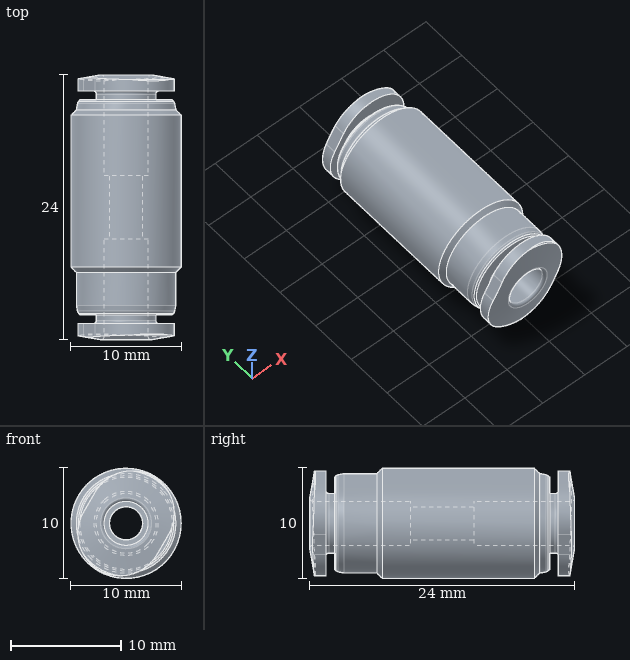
import cadquery as cq

length = 24.0
body_radius = 5.0
half_length = length / 2

shoulder_radius = 4.5
shoulder_chamfer = body_radius - shoulder_radius
front_shoulder_depth = 6.1
rear_shoulder_depth = 3.17
body_face_depth = 2.25
nose_radius = 4.18
nose_points = [(nose_radius, body_face_depth), (4.32, 2.4), (4.42, 2.6), (shoulder_radius, 3.12)]

collar_depth = 1.5
collar_end_radius = 3.85
collar_center_offset = 1.05
collar_angle = 60.0
collar_tip_radius = collar_end_radius + collar_center_offset
face_drop = 0.43
tip_chamfer = 0.12
neck_radius = 2.7
neck_flare = 0.2
neck_flare_length = 0.3

through_radius = 1.5
tube_radius = 2.0
tube_depth = 9.12
mouth_round = 0.3


def front(depth):
    """Y position at a depth from the front end."""
    return depth - half_length


def rear(depth):
    """Y position at a depth from the rear end."""
    return half_length - depth


def revolve_profile(points):
    """Close an (radius, y) outline and turn it around Y."""
    return cq.Workplane("XY").polyline(points).close().revolve(360, (0, 0), (0, 1))


def make_body():
    outline = [(0, front(body_face_depth))]
    outline += [(r, front(d)) for r, d in nose_points]
    outline += [
        (shoulder_radius, front(front_shoulder_depth)),
        (body_radius, front(front_shoulder_depth + shoulder_chamfer)),
        (body_radius, rear(rear_shoulder_depth + shoulder_chamfer)),
        (shoulder_radius, rear(rear_shoulder_depth)),
    ]
    outline += [(r, rear(d)) for r, d in reversed(nose_points)]
    outline += [(0, rear(body_face_depth))]
    return revolve_profile(outline)


def make_front_collar():
    plate = (
        cq.Workplane("XZ", origin=(0, front(0), 0))
        .slot2D(2 * collar_tip_radius, 2 * collar_end_radius, collar_angle)
        .extrude(-collar_depth)
    )
    face_envelope = revolve_profile([
        (0, front(0)),
        (tube_radius + mouth_round, front(0)),
        (collar_tip_radius - tip_chamfer, front(face_drop)),
        (collar_tip_radius, front(face_drop + tip_chamfer)),
        (collar_tip_radius, front(collar_depth)),
        (0, front(collar_depth)),
    ])
    flare_radius = neck_radius + neck_flare
    flare_end = collar_depth + neck_flare_length
    flare_middle = (neck_radius + 0.3 * neck_flare, front(collar_depth + 0.3 * neck_flare_length))
    neck = (
        cq.Workplane("XY")
        .moveTo(0, front(collar_depth))
        .lineTo(flare_radius, front(collar_depth))
        .threePointArc(flare_middle, (neck_radius, front(flare_end)))
        .lineTo(neck_radius, front(body_face_depth))
        .lineTo(0, front(body_face_depth))
        .close()
        .revolve(360, (0, 0), (0, 1))
    )
    return plate.intersect(face_envelope).union(neck)


def make_tube_socket():
    mouth_radius = tube_radius + mouth_round
    arc_offset = mouth_round * (1 - 0.5 ** 0.5)
    return (
        cq.Workplane("XY")
        .moveTo(0, front(0))
        .lineTo(mouth_radius, front(0))
        .threePointArc(
            (tube_radius + arc_offset, front(arc_offset)),
            (tube_radius, front(mouth_round)),
        )
        .lineTo(tube_radius, front(tube_depth))
        .lineTo(0, front(tube_depth))
        .close()
        .revolve(360, (0, 0), (0, 1))
    )


through_bore = cq.Workplane("XZ").circle(through_radius).extrude(half_length, both=True)
front_collar = make_front_collar()
front_socket = make_tube_socket()

result = (
    make_body()
    .union(front_collar)
    .union(front_collar.mirror("XZ"))
    .cut(through_bore)
    .cut(front_socket)
    .cut(front_socket.mirror("XZ"))
)